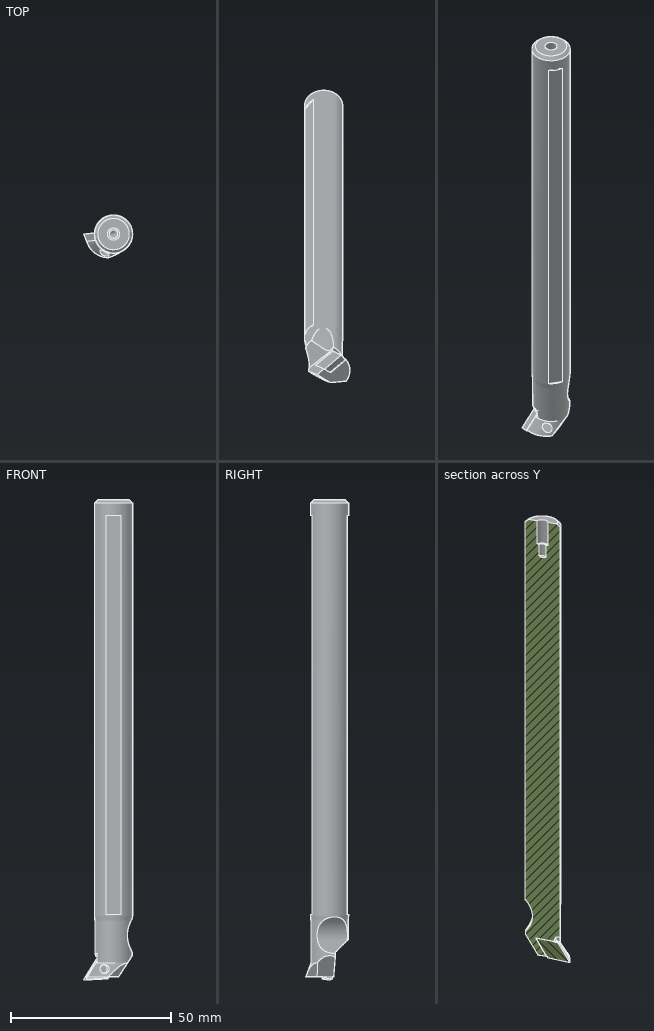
import cadquery as cq
import math

bar_length = 150.0
shank_radius = 6.0
end_chamfer = 1.1
flat_offset = 5.55
flat_bottom = 20.5
flat_top = 145.0
bore_radius = 1.9
bore_depth = 8.0
drill_radius = 1.3
drill_depth = 12.0
drill_tip_angle = 118.0

head_radius = 5.85
neck_top = 20.0
neck_bottom = 18.6
flare_top = 5.4
head_bottom = 1.0
flare_base_radius = 7.45
flare_base_x = -1.35

insert_reach = 9.3
insert_edge = 7.75
insert_angle = 55.0
insert_lead = 3.0
insert_thickness = 2.38
insert_clearance = 7.0
insert_nose_radius = 0.2
rake_tilt = 7.0
screw_hole_radius = 1.35
relief_radius = 1.3
relief_depth = 3.2
relief_rise = 0.4

end_slope_start = (0, shank_radius, 12.9)
end_slope_normal = (0, 1, -1)
side_slope_start = (-4.75, 3.4, 17.7)
side_slope_normal = (-0.82, 0.65, -0.25)
flute_corner = (-5.0, 0.5, 11.0)
flute_blend_radius = 4.0
scallop_radius = 7.3
scallop_direction = 15.0
scallop_depth = 2.8
scallop_height = 14.0
back_wall_point = (2.1, 0, 1.8)
back_wall_normal = (0.84, 0, -0.54)
heel_point = (4.2, -4.07, 5.4)
heel_normal = (12.2, -11.0, -7.8)

cutter_size = 60.0


def half_space(point, normal):
    """Block filling the side of a plane that its normal points to."""
    block = cq.Workplane(cq.Plane(origin=point, normal=normal))
    return block.rect(cutter_size, cutter_size).extrude(cutter_size)


def polar(length, angle):
    """Planar vector of the given length and angle in degrees."""
    radians = math.radians(angle)
    return (length * math.cos(radians), length * math.sin(radians))


nose_angle = math.radians(insert_angle)
nose_distance = insert_nose_radius / math.sin(nose_angle / 2)
bisector = insert_lead + insert_angle / 2
nose_setback_x, nose_setback_z = polar(nose_distance, bisector)
tilt = math.radians(rake_tilt)
tip_x = -insert_reach - (nose_setback_x - insert_nose_radius) * math.cos(tilt)
tip_z = -(nose_setback_z - insert_nose_radius)

rake_x_dir = (math.cos(tilt), math.sin(tilt), 0)
rake_depth_dir = (math.sin(tilt), -math.cos(tilt), 0)
rake_up_dir = (-rake_depth_dir[0], -rake_depth_dir[1], 0)
rake_origin = (tip_x, (tip_x + insert_reach) * math.tan(tilt), tip_z)
rake_plane = cq.Plane(origin=rake_origin, xDir=rake_x_dir, normal=rake_depth_dir)

bottom_edge = polar(insert_edge, insert_lead)
left_edge = polar(insert_edge, insert_lead + insert_angle)
far_corner = (bottom_edge[0] + left_edge[0], bottom_edge[1] + left_edge[1])
insert_centre = (far_corner[0] / 2, far_corner[1] / 2)


def make_insert():
    """Solid insert whose flanks taper inwards below the rake plane."""
    outline = cq.Workplane(rake_plane).polyline([(0, 0), bottom_edge, far_corner, left_edge]).close()
    blank = outline.extrude(insert_thickness, taper=insert_clearance)
    nose = cq.selectors.NearestToPointSelector(rake_plane.toWorldCoords((0, 0, insert_thickness / 2)))
    return blank.edges(nose).fillet(insert_nose_radius)


def open_seat():
    """Clears the head outside the insert's two cutting edges, down to the seat."""
    beyond_left = (left_edge[0] - cutter_size * bottom_edge[0], left_edge[1] - cutter_size * bottom_edge[1])
    beyond_bottom = (bottom_edge[0] - cutter_size * left_edge[0], bottom_edge[1] - cutter_size * left_edge[1])
    outline = [insert_centre, left_edge, beyond_left, beyond_bottom, bottom_edge]
    return cq.Workplane(rake_plane).polyline(outline).close().extrude(insert_thickness)


def rake_cylinder(centre, radius, depth):
    """Cylinder sunk square to the rake plane."""
    return cq.Workplane(rake_plane).center(*centre).circle(radius).extrude(depth)


def end_bore():
    """Stepped blind hole in the top end, with a conical drill tip."""
    tip_height = drill_radius / math.tan(math.radians(drill_tip_angle / 2))
    half_section = [
        (0, bar_length),
        (bore_radius, bar_length),
        (bore_radius, bar_length - bore_depth),
        (drill_radius, bar_length - bore_depth),
        (drill_radius, bar_length - drill_depth),
        (0, bar_length - drill_depth - tip_height),
    ]
    return cq.Workplane("XZ").polyline(half_section).close().revolve(360, (0, 0, 0), (0, 1, 0))


def make_shank():
    shank = (
        cq.Workplane("XY", origin=(0, 0, neck_top))
        .circle(shank_radius)
        .extrude(bar_length - neck_top)
        .faces(">Z")
        .chamfer(end_chamfer)
    )
    flat_cutter = cq.Workplane("XY", origin=(0, 0, flat_bottom)).box(
        2 * shank_radius, shank_radius, flat_top - flat_bottom, centered=(True, True, False)
    )
    for side in (1, -1):
        shank = shank.cut(flat_cutter.translate((0, side * (flat_offset + shank_radius / 2), 0)))
    return shank.cut(end_bore())


def make_head():
    """Conical neck, plain column and leaning flare, before any cuts."""
    neck = (
        cq.Workplane("XY", origin=(0, 0, neck_bottom))
        .circle(head_radius)
        .workplane(offset=neck_top - neck_bottom)
        .circle(shank_radius)
        .loft()
    )
    column = cq.Workplane("XY", origin=(0, 0, flare_top)).circle(head_radius).extrude(neck_bottom - flare_top)
    flare = (
        cq.Workplane("XY", origin=(0, 0, flare_top))
        .circle(head_radius)
        .workplane(offset=head_bottom - flare_top)
        .center(flare_base_x, 0)
        .circle(flare_base_radius)
        .loft()
    )
    return neck.union(column).union(flare)


def chip_flute():
    """Space above the rake plane and below two slopes, blended at the side slope."""
    slopes = half_space(end_slope_start, end_slope_normal).union(
        half_space(side_slope_start, side_slope_normal)
    )
    flute = slopes.intersect(half_space(rake_origin, rake_up_dir))
    corner = cq.selectors.NearestToPointSelector(flute_corner)
    return flute.edges(corner).fillet(flute_blend_radius)


def scallop():
    """Round groove across the +X side of the head."""
    distance = shank_radius - scallop_depth + scallop_radius
    x, y = polar(distance, scallop_direction)
    axis = (*polar(1, scallop_direction + 90), 0)
    groove = cq.Workplane(cq.Plane(origin=(x, y, scallop_height), normal=axis))
    return groove.circle(scallop_radius).extrude(cutter_size / 2, both=True)


def make_holder():
    """Shank and head with the chip flute, clearance cuts and insert seat."""
    head = make_head().cut(chip_flute()).cut(scallop())
    head = head.cut(half_space(back_wall_point, back_wall_normal))
    head = head.cut(half_space(heel_point, heel_normal))
    head = head.cut(open_seat())
    head = head.cut(make_insert())
    relief_centre = (left_edge[0], left_edge[1] + relief_rise)
    head = head.cut(rake_cylinder(relief_centre, relief_radius, relief_depth))
    head = head.cut(rake_cylinder(insert_centre, screw_hole_radius, cutter_size))
    return make_shank().union(head)


holder = make_holder()
insert = make_insert()
result = cq.Compound.makeCompound([holder.val(), insert.val()])